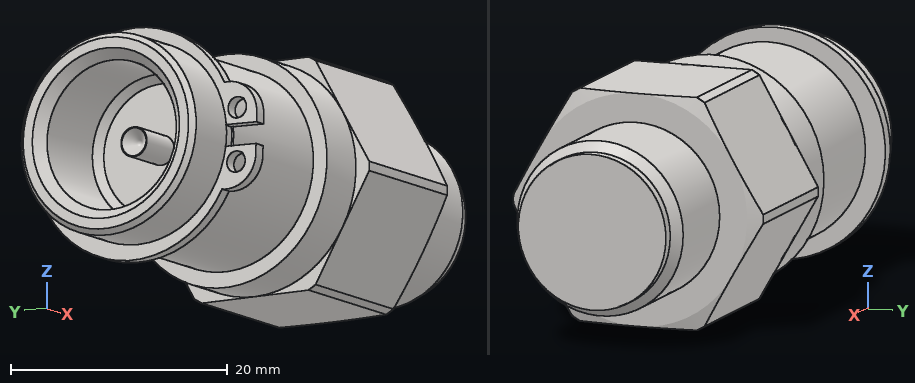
import cadquery as cq
import math

total_length = 51.0
ring_start = 5.8
ring_thickness = 1.2
collar_start = 20.95
hex_start = 26.0
hex_end = 40.0
tip_length = 1.05

barrel_diameter = 19.0
barrel_chamfer = 0.5
groove_diameter = 18.6
collar_diameter = 22.0
neck_diameter = 16.5
tip_diameter = 14.7
neck_chamfer = (neck_diameter - tip_diameter) / 2

hex_across_flats = collar_diameter
hex_across_corners = 24.9
hex_chamfer_angle = math.radians(15)

mouth_diameter = 16.0
bore_diameter = 14.1
floor_diameter = 12.55
mouth_depth = 1.0
bore_end = 8.9
floor_depth = 9.7
contact_diameter = 2.8
contact_tip = 4.9
contact_cone_depth = 1.4
contact_cone_diameter = 2.65

ring_diameter = 21.9
ring_offset = 0.55
ring_tilt = 1.5
gap_width = 2.05
ear_radius = 3.1
ear_center_y = 9.65
ear_center_z = 1.95
ear_hole_diameter = 2.0
ear_hole_y = 10.6
ear_hole_z = 2.55


def turned(profile):
    """Revolve a closed (x, radius) outline about the X axis."""
    return cq.Workplane("XY").polyline(profile).close().revolve(360, (0, 0, 0), (1, 0, 0))


def cylinder(start, end, diameter):
    """Cylinder on the X axis between two stations."""
    return cq.Workplane("YZ", origin=(start, 0, 0)).circle(diameter / 2).extrude(end - start)


def make_barrel():
    barrel = cylinder(0, hex_start, barrel_diameter).faces("<X").chamfer(barrel_chamfer)
    ring_end = ring_start + ring_thickness
    groove = cylinder(ring_start, ring_end, barrel_diameter).cut(
        cylinder(ring_start, ring_end, groove_diameter)
    )
    barrel = barrel.cut(groove)
    return barrel.union(cylinder(collar_start, hex_start, collar_diameter))


def make_hexagon():
    sharp_corners = hex_across_flats / math.cos(math.pi / 6)
    prism = (
        cq.Workplane("YZ", origin=(hex_start, 0, 0))
        .polygon(6, sharp_corners)
        .extrude(hex_end - hex_start)
    )
    corner_radius = hex_across_corners / 2
    end_radius = hex_across_flats / 2
    chamfer_length = (corner_radius - end_radius) * math.tan(hex_chamfer_angle)
    envelope = turned([
        (hex_start, 0),
        (hex_start, corner_radius),
        (hex_end - chamfer_length, corner_radius),
        (hex_end, end_radius),
        (hex_end, 0),
    ])
    return prism.intersect(envelope)


def make_neck():
    tip_start = total_length - tip_length
    return turned([
        (hex_end, 0),
        (hex_end, neck_diameter / 2),
        (tip_start - neck_chamfer, neck_diameter / 2),
        (tip_start, tip_diameter / 2),
        (total_length, tip_diameter / 2),
        (total_length, 0),
    ])


def make_socket_cut():
    return turned([
        (0, 0),
        (0, mouth_diameter / 2),
        (mouth_depth, bore_diameter / 2),
        (bore_end, bore_diameter / 2),
        (floor_depth, floor_diameter / 2),
        (floor_depth, 0),
    ])


def make_contact():
    return turned([
        (contact_tip + contact_cone_depth, 0),
        (contact_tip, contact_cone_diameter / 2),
        (contact_tip, contact_diameter / 2),
        (floor_depth, contact_diameter / 2),
        (floor_depth, 0),
    ])


def make_retaining_ring():
    plane = cq.Workplane("YZ", origin=(ring_start, 0, 0))
    ring = plane.center(ring_offset, 0).circle(ring_diameter / 2).extrude(ring_thickness)
    ear_centers = [(-ear_center_y, side * ear_center_z) for side in (-1, 1)]
    hole_centers = [(-ear_hole_y, side * ear_hole_z) for side in (-1, 1)]
    ear_reach = ear_center_y + ear_radius
    ring = ring.union(plane.pushPoints(ear_centers).circle(ear_radius).extrude(ring_thickness))
    bridge = plane.center(-ear_reach / 2, 0).rect(ear_reach, 2 * ear_center_z).extrude(ring_thickness)
    gap = plane.center(-ear_reach, 0).rect(2 * ear_reach, gap_width).extrude(ring_thickness)
    holes = plane.pushPoints(hole_centers).circle(ear_hole_diameter / 2).extrude(ring_thickness)
    ring = ring.union(bridge).cut(gap).cut(holes)
    return ring.rotate((0, 0, 0), (1, 0, 0), ring_tilt)


result = (
    make_barrel()
    .union(make_retaining_ring())
    .union(make_hexagon())
    .union(make_neck())
    .cut(make_socket_cut())
    .union(make_contact())
)